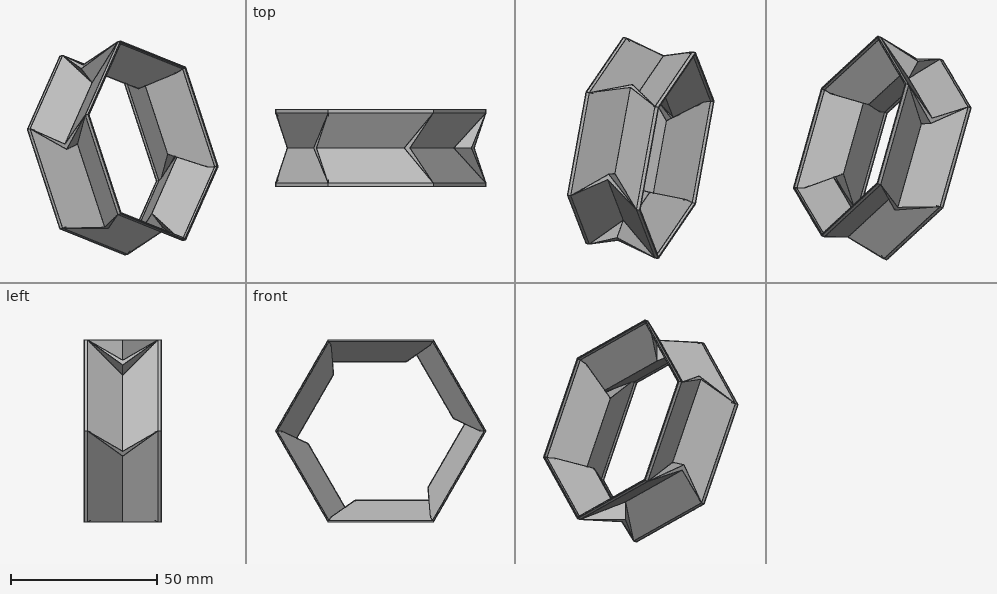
import cadquery as cq
import math

corner_diameter = 71.95
ring_width = 26.4
wall = 0.5
side_count = 6

groove_half_width = 12.0
groove_slope = math.radians(30)
chevron_tip_x = 8.05

side_length = corner_diameter / 2
apothem = side_length * math.cos(math.pi / side_count)
half_side = side_length / 2
chevron_slope = math.atan((half_side - chevron_tip_x) / groove_half_width)
clearance = 3.6


def hexagonal_prism(flat_distance, width):
    diameter = 2 * flat_distance / math.cos(math.pi / side_count)
    return cq.Workplane("XZ").polygon(side_count, diameter).extrude(width / 2, both=True)


def groove(offset):
    """Groove of the top side, with all its faces moved outward by offset."""
    bottom_z = apothem - groove_half_width * math.tan(groove_slope) - offset / math.cos(groove_slope)
    tip_x = chevron_tip_x + offset / math.cos(chevron_slope)
    top_z = apothem + clearance
    half_width = (top_z - bottom_z) / math.tan(groove_slope)
    left_x = -corner_diameter / 2 - clearance
    right_x = tip_x + half_width * math.tan(chevron_slope)

    wedge = (
        cq.Workplane("YZ", origin=(left_x, 0, 0))
        .polyline([(-half_width, top_z), (0, bottom_z), (half_width, top_z)])
        .close()
        .extrude(right_x - left_x)
    )
    chevron = (
        cq.Workplane("XY")
        .polyline([
            (left_x, -half_width),
            (right_x, -half_width),
            (tip_x, 0),
            (right_x, half_width),
            (left_x, half_width),
        ])
        .close()
        .extrude(top_z)
    )
    return wedge.intersect(chevron)


def grooved_prism(offset, width):
    """Grooved hexagonal body with every face moved inward by offset."""
    body = hexagonal_prism(apothem - offset, width)
    cutter = groove(offset)
    for side in range(side_count):
        angle = side * 360 / side_count
        body = body.cut(cutter.rotate((0, 0, 0), (0, 1, 0), angle))
    return body


outer_body = grooved_prism(0, ring_width)
inner_void = grooved_prism(wall, ring_width + 2 * clearance)
result = outer_body.cut(inner_void)